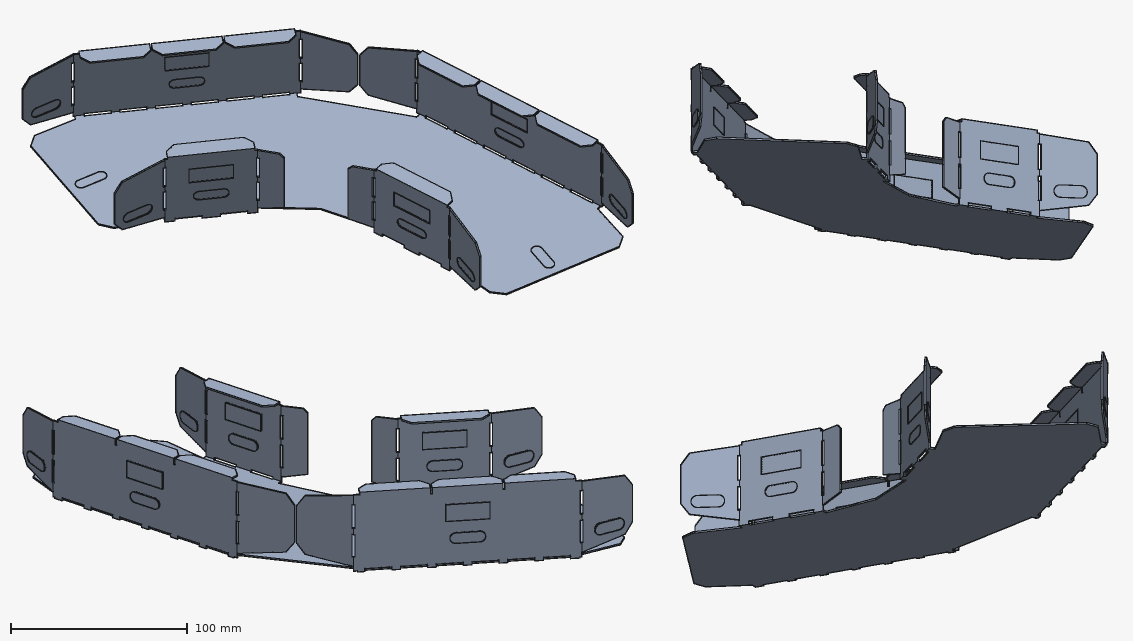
import math

import cadquery as cq

WIDTH = 329.5
SHEET = 1.0
BEND = 22.5
COS_BEND = math.cos(math.radians(BEND))
SIN_BEND = math.sin(math.radians(BEND))
TOP = 50.5
SHOULDER = 48.7
WALL_BOTTOM = 0.5

OUTER_START = 37.0
OUTER_END = 167.3
OUTER_LIP = 40.5
OUTER_LIP_PITCH = 41.5
OUTER_SLITS = (6, 20.5)

INNER_FACE = 94.0
INNER_START = 75.5
INNER_END = 128.8
INNER_LIP = 50.0
INNER_SLITS = (2, 26.0)

WALL_CENTRE = (OUTER_START + OUTER_END) / 2

LIP_DEPTH = 10.0
LIP_CHAMFER = 5.0
LIP_SLIT_BOTTOM = 46.5

FOOT_SLIT = 15.5
FOOT_SLIT_TOP = 2.0
FOOT_SLIT_REACH = 1.5
FOLD_SLIT_WIDTH = 1.5
FOLD_SLITS = ((9.5, 23.7), (27.7, 42.5))

WING = (WIDTH - OUTER_END * (1 + math.cos(math.radians(2 * BEND)))) / (COS_BEND + SIN_BEND)
WING_ROOT = (3.5, 48.5)
WING_SIDE = (8.0, 44.8)
WING_TIP = (14.5, 38.0)
WING_CHAMFER = 5.0
SHORT_WING = 15.5
SHORT_WING_BOTTOM = 7.2
SHORT_WING_CHAMFER = 2.5

EMBOSS = 0.5
RECESS = 0.3
LABEL = (25.5, 10.5)
LABEL_Z = 34.0
WALL_SLOT = (20.5, 6.5)
WALL_SLOT_Z = 17.8
WING_SLOT = (19.0, 7.2)
WING_SLOT_Z = 15.5
WING_SLOT_OFFSET = 18.0

FLOOR_SLOT = (19.8, 6.5)
FLOOR_SLOT_CENTRE = (165.0, -54.0)
FLOOR_CORNER = (39.2, -4.0)
FLOOR_TAB_END = 166.3
FLOOR_END = (
    (FLOOR_TAB_END, -3.5),
    (191.5, -13.5),
    (194.5, -21.5),
    (166.3, -90.5),
    (157.8, -95.0),
)
FLOOR_INNER_EDGE = -90.2
FLOOR_INNER_MITRE = 104.7


def upright(x, y, turn=0.0):
    """Vertical plane on an outward face: local x runs along it, local y up, normal into the sheet."""
    angle = math.radians(turn)
    return cq.Workplane(cq.Plane(
        origin=(x, y, 0),
        xDir=(math.cos(angle), math.sin(angle), 0),
        normal=(math.sin(angle), -math.cos(angle), 0),
    ))


def box(x_range, y_range, z_range):
    """Block between the given limits along each axis."""
    size = [high - low for low, high in (x_range, y_range, z_range)]
    corner = (x_range[0], y_range[0], z_range[0])
    return cq.Workplane("XY").box(*size, centered=False).translate(corner)


def emboss(plate, face, x, z, size, rounded):
    """Push a panel of the plate outwards, leaving a recess behind it."""
    def panel(offset):
        at = face.workplane(offset=offset).center(x, z)
        return at.slot2D(*size) if rounded else at.rect(*size)
    raised = panel(-EMBOSS).extrude(EMBOSS)
    recess = panel(SHEET - RECESS).extrude(RECESS)
    return plate.union(raised).cut(recess)


def lip(centre, length, face_y, inwards):
    """Horizontal lip from the wall face at face_y towards the channel inside."""
    half = length / 2
    outline = [
        (-half, 0),
        (half, 0),
        (half, LIP_DEPTH - LIP_CHAMFER),
        (half - LIP_CHAMFER, LIP_DEPTH),
        (LIP_CHAMFER - half, LIP_DEPTH),
        (-half, LIP_DEPTH - LIP_CHAMFER),
    ]
    points = [(centre + x, face_y + inwards * y) for x, y in outline]
    return cq.Workplane("XY").workplane(offset=TOP - SHEET).polyline(points).close().extrude(SHEET)


def wall(start, end, back_y, lip_total):
    """Upright plate with its outward face on y = back_y, raised in the middle to meet its lips."""
    half = lip_total / 2
    face = upright(0, back_y)
    outline = [
        (start, WALL_BOTTOM),
        (WALL_CENTRE - half, WALL_BOTTOM),
        (WALL_CENTRE - half, 0),
        (WALL_CENTRE + half, 0),
        (WALL_CENTRE + half, WALL_BOTTOM),
        (end, WALL_BOTTOM),
        (end, SHOULDER),
        (WALL_CENTRE + half, SHOULDER),
        (WALL_CENTRE + half, TOP),
        (WALL_CENTRE - half, TOP),
        (WALL_CENTRE - half, SHOULDER),
        (start, SHOULDER),
    ]
    plate = face.polyline(outline).close().extrude(SHEET)
    plate = emboss(plate, face, WALL_CENTRE, LABEL_Z, LABEL, rounded=False)
    return emboss(plate, face, WALL_CENTRE, WALL_SLOT_Z, WALL_SLOT, rounded=True)


def wing(x, y, side, slotted):
    """Long tapered wing folded back from a wall end; side is +1 or -1 along X."""
    face = upright(x, y, -side * BEND)
    outline = [
        (0, WING_ROOT[0]),
        (WING - WING_CHAMFER, WING_SIDE[0]),
        (WING, WING_TIP[0]),
        (WING, WING_TIP[1]),
        (WING - WING_CHAMFER, WING_SIDE[1]),
        (0, WING_ROOT[1]),
    ]
    plate = face.polyline([(side * s, z) for s, z in outline]).close().extrude(SHEET)
    if slotted:
        plate = emboss(plate, face, side * WING_SLOT_OFFSET, WING_SLOT_Z, WING_SLOT, rounded=True)
    return plate


def short_wing(x, y):
    """Short wing folded back from the inner wall towards the mitre."""
    outline = [
        (0, WING_ROOT[0]),
        (-SHORT_WING, SHORT_WING_BOTTOM),
        (-SHORT_WING, WING_ROOT[1] - SHORT_WING_CHAMFER),
        (SHORT_WING_CHAMFER - SHORT_WING, WING_ROOT[1]),
        (0, WING_ROOT[1]),
    ]
    return upright(x, y, BEND).polyline(outline).close().extrude(SHEET)


def floor():
    """Half of the floor, cut square across at the mitre plane, with its shallow slot."""
    mitre = (-SIN_BEND, COS_BEND)
    corner_along = FLOOR_CORNER[0] * mitre[0] + FLOOR_CORNER[1] * mitre[1]
    outline = [
        (mitre[0] * corner_along, mitre[1] * corner_along),
        FLOOR_CORNER,
        (FLOOR_CORNER[0], 0),
        (FLOOR_TAB_END, 0),
        *FLOOR_END,
        (INNER_END, FLOOR_INNER_EDGE),
        (INNER_END, -INNER_FACE),
        (INNER_START, -INNER_FACE),
        (INNER_START, FLOOR_INNER_EDGE),
        (-mitre[0] * FLOOR_INNER_MITRE, -mitre[1] * FLOOR_INNER_MITRE),
    ]
    plate = cq.Workplane("XY").polyline(outline).close().extrude(SHEET)
    slot = (
        cq.Workplane("XY").workplane(offset=SHEET - RECESS)
        .center(*FLOOR_SLOT_CENTRE).slot2D(*FLOOR_SLOT, angle=-BEND).extrude(RECESS)
    )
    return plate.cut(slot)


def foot_slits(arm, slits, y_range):
    """Row of slits where a wall meets the floor; slits holds their count and pitch."""
    count, pitch = slits
    for i in range(count):
        x = WALL_CENTRE + (i - (count - 1) / 2) * pitch
        arm = arm.cut(box((x - FOOT_SLIT / 2, x + FOOT_SLIT / 2), y_range, (0, FOOT_SLIT_TOP)))
    return arm


def fold_slits(arm, x, y):
    """Upright slits in the fold between a wall and a wing."""
    half = FOLD_SLIT_WIDTH / 2
    for z_range in FOLD_SLITS:
        arm = arm.cut(box((x - half, x + half), (y - 2 * SHEET, y + SHEET), z_range))
    return arm


def slit_between_lips(arm):
    """Narrow cuts that separate the three lips of the outer wall."""
    half_gap = (OUTER_LIP_PITCH - OUTER_LIP) / 2
    for side in (-1, 1):
        x = WALL_CENTRE + side * OUTER_LIP_PITCH / 2
        arm = arm.cut(box((x - half_gap, x + half_gap), (-SHEET, 0), (LIP_SLIT_BOTTOM, TOP)))
    return arm


inner_back = SHEET - INNER_FACE
outer_lips = 2 * OUTER_LIP_PITCH + OUTER_LIP

arm = floor()
arm = arm.union(wall(OUTER_START, OUTER_END, 0, outer_lips))
arm = arm.union(wall(INNER_START, INNER_END, inner_back, INNER_LIP))

arm = slit_between_lips(arm)
for i in (-1, 0, 1):
    arm = arm.union(lip(WALL_CENTRE + i * OUTER_LIP_PITCH, OUTER_LIP, 0, -1))
arm = arm.union(lip(WALL_CENTRE, INNER_LIP, -INNER_FACE, 1))

arm = arm.union(wing(OUTER_START, 0, -1, slotted=False))
arm = arm.union(wing(OUTER_END, 0, 1, slotted=True))
arm = arm.union(short_wing(INNER_START, inner_back))
arm = arm.union(wing(INNER_END, inner_back, 1, slotted=True))

arm = foot_slits(arm, OUTER_SLITS, (-FOOT_SLIT_REACH, 0))
arm = foot_slits(arm, INNER_SLITS, (-INNER_FACE, FOOT_SLIT_REACH - INNER_FACE))
for x in (OUTER_START, OUTER_END):
    arm = fold_slits(arm, x, 0)
for x in (INNER_START, INNER_END):
    arm = fold_slits(arm, x, inner_back)

mitre_normal = cq.Vector(COS_BEND, SIN_BEND, 0)
result = arm.union(arm.mirror(mitre_normal))